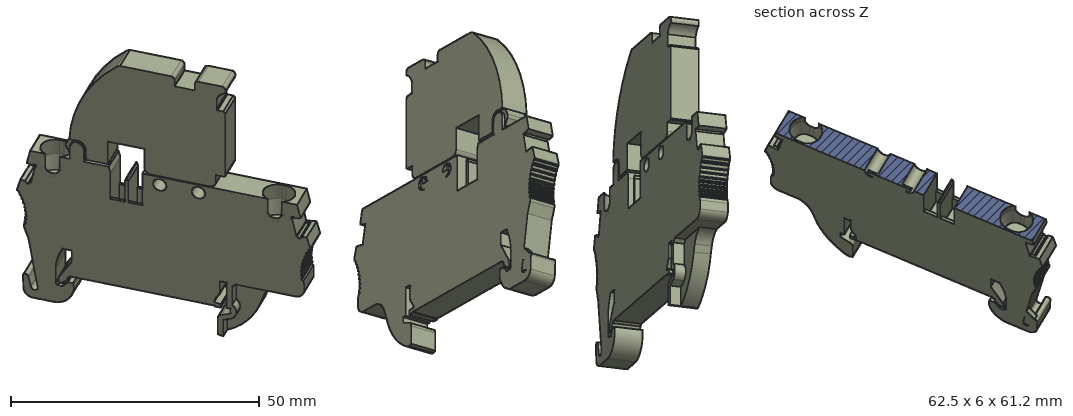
import cadquery as cq
import math

width = 62.45
thickness = 6.0
height = 61.2
half_width = width / 2
front_y = -thickness / 2
back_y = thickness / 2

body_top = 35.9
rail_edge = 7.05
ledge = 13.3
back_skin = 0.55

relief_x = 27.5
relief_z = 32.4
relief_radius = 0.3
notch_x = 28.9
notch_bottom = 27.65
notch_depth = 0.55
notch_clearance = 0.4

rib_top = 25.85
rib_pitch = 0.95
rib_count = 9
rib_depth = 0.3
rib_crest = 0.25
rib_drop = 0.2
hollow_radius = 10.75
hollow_z = 20.0
hollow_x = -half_width - math.sqrt(hollow_radius**2 - (rib_top - hollow_z) ** 2)

hinge_x = -18.5
hinge_z = 38.8
ear_radius = 1.5
ear_pocket_radius = 1.95
ear_thickness = 0.6
knuckle_width = thickness - 2 * ear_thickness
knuckle_base = 36.95
knuckle_rib_width = 3.75
knuckle_rib_base = 36.15
cover_heel = 36.45

cover_base = 36.1
cover_right = 13.2

slot_left = -11.3
slot_right = -4.5
slot_floor = 28.1
lead_in_width = 0.4
lead_in_height = 1.3
blade_x = -7.85
blade_width = 0.7
blade_shoulder = 33.2
blade_top = 33.95
blade_tip_width = 0.2
slot_skin = 0.6
slot_pocket_depth = 3.75

hole_diameter = 2.8
hole_z = 33.95
hole_middle = 3.3
hole_spacing = 8.25
hole_stop_shift = 0.6

well_x = 23.65
well_y = -0.345
well_radius = 2.9
well_flat = 0.9
well_step = 32.55
well_floor = 29.1
well_inset = 0.8

foot_gusset = 1.05
foot_web = 3.7


def slab(sketch, y_from, y_to):
    """Extrude an XZ outline between two Y positions."""
    return sketch.extrude(-(y_to - y_from)).translate((0, y_from, 0))


def outline(x, z):
    return cq.Workplane("XZ").moveTo(x, z)


def box(x_from, x_to, y_from, y_to, z_from, z_to):
    block = cq.Workplane("XY").box(x_to - x_from, y_to - y_from, z_to - z_from, centered=False)
    return block.translate((x_from, y_from, z_from))


def disc(x, z, radius, y_from, y_to):
    return slab(cq.Workplane("XZ").center(x, z).circle(radius), y_from, y_to)


def rib_points():
    """Saw-tooth points down the hollow of the left end."""
    points = []
    for i in range(rib_count):
        z = rib_top - i * rib_pitch
        x = hollow_x + math.sqrt(hollow_radius**2 - (z - hollow_z) ** 2)
        points.append((x, z))
        points.append((x, z - rib_crest))
        points.append((x + rib_depth, z - rib_crest - rib_drop))
    return points


def end_points():
    """Left end of the body from its top corner down to the end of the ribs."""
    marker_groove = [
        (-28.4, body_top), (-29.15, 32.8), (-27.35, 32.3), (-28.3, 28.1), (-29.5, 28.3), (-30.5, 28.4),
    ]
    return marker_groove + rib_points()


def mirrored(points):
    return [(-x, z) for x, z in reversed(points)]


def make_body():
    left_end = end_points()
    right_end = mirrored(left_end)
    profile = (
        outline(*left_end[0])
        .polyline(left_end[1:], includeCurrent=True)
        .lineTo(-29.8, 17.4)
        .lineTo(-29.65, 16.75)
        .lineTo(-28.8, 14.35)
        .lineTo(-26.8, 2.75)
        .threePointArc((-27.5, 2.0), (-28.2, 2.75))
        .lineTo(-28.8, 4.95)
        .threePointArc((-29.35, 5.5), (-30.0, 4.95))
        .lineTo(-29.85, 1.8)
        .threePointArc((-29.15, 0.55), (-27.8, 0))
        .lineTo(-23.0, 0)
        .threePointArc((-20.5, 1.25), (-19.25, 5.55))
        .lineTo(-20.35, 5.55)
        .lineTo(-21.55, 4.3)
        .lineTo(-22.5, 4.3)
        .lineTo(-23.0, 4.8)
        .lineTo(-23.0, 8.4)
        .threePointArc((-22.55, 11.1), (-21.5, 13.5))
        .lineTo(-19.55, 13.5)
        .lineTo(-19.55, 10.75)
        .lineTo(-22.3, 6.45)
        .lineTo(-22.4, 5.1)
        .lineTo(-21.6, 5.0)
        .lineTo(-20.6, 5.95)
        .lineTo(-20.35, 6.6)
        .lineTo(-19.85, rail_edge)
        .lineTo(10.85, rail_edge)
        .lineTo(10.85, 6.85)
        .lineTo(12.2, 6.85)
        .lineTo(12.2, 7.75)
        .lineTo(10.75, 7.9)
        .lineTo(10.75, 8.3)
        .lineTo(11.9, 10.1)
        .lineTo(11.9, 13.05)
        .lineTo(12.2, ledge)
        .lineTo(13.4, ledge)
        .lineTo(13.4, 7.1)
        .lineTo(14.25, 7.05)
        .lineTo(14.25, 5.9)
        .lineTo(12.25, 5.1)
        .threePointArc((11.7, 4.75), (11.5, 4.2))
        .lineTo(11.5, 0.25)
        .lineTo(12.2, 0)
        .lineTo(12.75, 0)
        .lineTo(12.75, 4.0)
        .lineTo(14.6, 4.8)
        .threePointArc((15.5, 6.4), (14.6, 8.1))
        .lineTo(14.6, ledge - 0.75)
        .lineTo(15.35, ledge)
        .lineTo(27.85, ledge)
        .threePointArc((29.2, 13.75), (29.9, 14.85))
        .lineTo(29.9, 16.75)
        .lineTo(29.8, 17.4)
        .polyline(right_end, includeCurrent=True)
        .close()
    )
    return slab(profile, front_y, back_y)


def make_foot_webs():
    """Thin web bridging the release groove and the web stiffening the right foot."""
    gusset = outline(-27.55, 7.25).lineTo(-29.55, 5.4).lineTo(-28.1, 2.2).lineTo(-26.8, 2.6).close()
    web = (
        outline(12.2, 0)
        .lineTo(12.75, 0)
        .threePointArc((17.35, 3.75), (20.1, 9.1))
        .lineTo(20.65, 10.6)
        .threePointArc((21.65, 12.2), (23.4, ledge))
        .lineTo(23.4, ledge + 0.6)
        .lineTo(14.1, ledge + 0.6)
        .lineTo(14.1, 7.5)
        .lineTo(14.85, 5.6)
        .lineTo(12.2, 4.4)
        .close()
    )
    return slab(gusset, back_y - foot_gusset, back_y).union(slab(web, back_y - foot_web, back_y))


def make_front_reliefs():
    """Small cuts in the marker grooves that stop short of the back face."""
    reliefs = cq.Workplane("XZ")
    for side in (-1, 1):
        corner = disc(side * relief_x, relief_z, relief_radius, front_y, back_y - back_skin)
        inner = side * notch_x - notch_depth
        outer = side * notch_x + notch_depth
        notch = (
            outline(side * notch_x, notch_bottom)
            .lineTo(inner, notch_bottom + notch_depth)
            .lineTo(inner, notch_bottom + notch_depth + notch_clearance)
            .lineTo(outer, notch_bottom + notch_depth + notch_clearance)
            .lineTo(outer, notch_bottom + notch_depth)
            .close()
        )
        reliefs = reliefs.add(corner).add(slab(notch, front_y, back_y - back_skin))
    return reliefs.combine()


def make_slot():
    profile = (
        outline(slot_left, slot_floor)
        .lineTo(slot_right, slot_floor)
        .lineTo(slot_right, body_top)
        .lineTo(slot_left - lead_in_width, body_top)
        .lineTo(slot_left, body_top - lead_in_height)
        .close()
    )
    slot = slab(profile, front_y, back_y)
    pocket_floor = slot_floor - slot_pocket_depth
    pocket = box(slot_left, slot_right, front_y + slot_skin, back_y - slot_skin, pocket_floor, slot_floor)
    half, tip = blade_width / 2, blade_tip_width / 2
    blade = (
        outline(blade_x - half, pocket_floor)
        .lineTo(blade_x - half, blade_shoulder)
        .lineTo(blade_x - tip, blade_top)
        .lineTo(blade_x + tip, blade_top)
        .lineTo(blade_x + half, blade_shoulder)
        .lineTo(blade_x + half, pocket_floor)
        .close()
    )
    return slot.union(pocket).cut(slab(blade, front_y, back_y))


def make_test_hole(side):
    """Hole whose back end keeps an off-centre stop with one open quarter."""
    radius = hole_diameter / 2
    x = hole_middle + side * hole_spacing / 2
    stop_y = back_y - back_skin
    hole = disc(x, hole_z, radius, front_y, back_y)
    stop = disc(x - side * hole_stop_shift, hole_z, radius, stop_y, back_y)
    quarter_x = sorted((x, x - side * 2 * radius))
    quarter = box(*quarter_x, stop_y, back_y, hole_z, hole_z + 2 * radius)
    return hole.cut(stop.cut(quarter))


def make_well(side):
    """Obround entry, straight at the mouth and tapered below the step."""
    def section(z):
        plane = cq.Workplane("XY", origin=(side * well_x, well_y, z))
        return plane.slot2D(well_flat + 2 * well_radius, 2 * well_radius)

    taper = math.degrees(math.atan(well_inset / (well_step - well_floor)))
    mouth = section(well_step).extrude(body_top - well_step)
    return mouth.union(section(well_step).extrude(well_floor - well_step, taper=taper))


def make_cover():
    profile = (
        outline(-20.1, hinge_z + ear_pocket_radius)
        .threePointArc((-17.5, 51.2), (-10.25, 60.55))
        .threePointArc((-9.8, 60.95), (-9.25, height))
        .lineTo(1.6, height)
        .threePointArc((2.1, 60.95), (2.4, 60.45))
        .lineTo(2.4, 58.9)
        .lineTo(6.6, 58.9)
        .lineTo(6.6, 60.45)
        .threePointArc((6.85, 60.95), (7.35, height))
        .lineTo(12.4, height)
        .threePointArc((13.1, 60.7), (13.05, 59.7))
        .threePointArc((12.0, 58.95), (11.3, 57.8))
        .lineTo(11.3, 55.3)
        .lineTo(11.5, 55.15)
        .lineTo(12.75, 55.15)
        .lineTo(cover_right, 54.7)
        .lineTo(cover_right, 39.4)
        .lineTo(cover_right - 0.25, 39.15)
        .lineTo(11.1, 39.15)
        .lineTo(11.1, cover_base + 1.25)
        .threePointArc((10.75, cover_base + 0.4), (9.85, cover_base))
        .lineTo(-2.8, cover_base)
        .threePointArc((-3.7, cover_base + 0.4), (-4.05, cover_base + 1.25))
        .lineTo(-4.05, 42.0)
        .lineTo(-11.85, 42.0)
        .lineTo(-11.85, cover_heel)
        .lineTo(hinge_x + ear_pocket_radius, cover_heel)
        .lineTo(hinge_x + ear_pocket_radius, knuckle_base)
        .lineTo(-20.15, knuckle_base)
        .lineTo(-20.9, 38.35)
        .threePointArc((-21.05, 38.8), (-20.9, 39.2))
        .close()
    )
    cover = slab(profile, front_y, back_y)
    pocket_right = hinge_x + ear_pocket_radius
    knuckle_half = knuckle_width / 2
    for y_from, y_to in ((front_y, -knuckle_half), (knuckle_half, back_y)):
        pocket = disc(hinge_x, hinge_z, ear_pocket_radius, y_from, y_to)
        pocket = pocket.union(box(-half_width, pocket_right, y_from, y_to, body_top, hinge_z))
        pocket = pocket.union(box(-half_width, hinge_x, y_from, y_to, hinge_z, hinge_z + ear_pocket_radius))
        cover = cover.cut(pocket)
    rib_half = knuckle_rib_width / 2
    knuckle_rib = (
        outline(-20.15, knuckle_base)
        .lineTo(-20.0, knuckle_rib_base)
        .lineTo(pocket_right, knuckle_rib_base)
        .lineTo(pocket_right, knuckle_base)
        .close()
    )
    return cover.union(slab(knuckle_rib, -rib_half, rib_half))


def make_hinge_ears():
    ears = cq.Workplane("XZ")
    for y_from in (front_y, back_y - ear_thickness):
        y_to = y_from + ear_thickness
        post = box(hinge_x - ear_radius, hinge_x + ear_radius, y_from, y_to, body_top, hinge_z)
        ears = ears.add(post.union(disc(hinge_x, hinge_z, ear_radius, y_from, y_to)))
    return ears.combine()


body = make_body().union(make_foot_webs())
body = body.cut(make_front_reliefs()).cut(make_slot())
for side in (-1, 1):
    body = body.cut(make_test_hole(side)).cut(make_well(side))
result = body.union(make_hinge_ears()).union(make_cover())